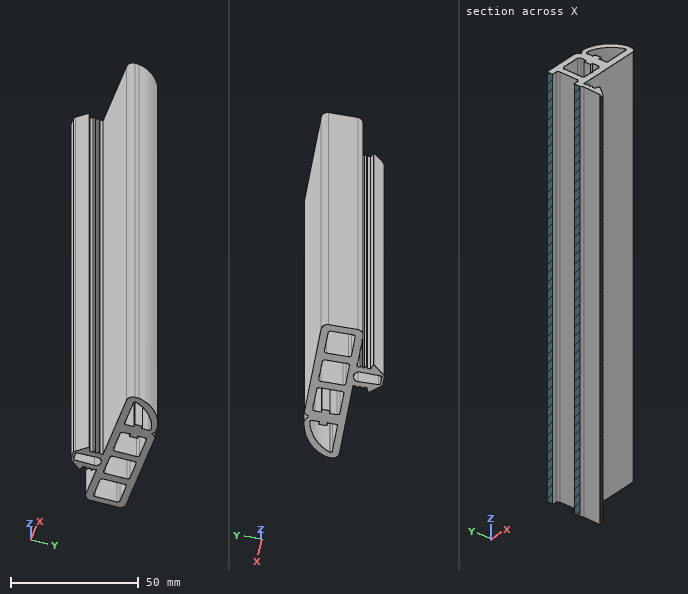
import cadquery as cq

length = 200.0
bar_width = 56.5
bar_height = 16.8
corner_radius = 2.5

floor_thickness = 3.0
cell_height = bar_height - 2 * floor_thickness
cell_spans = [(2.5, 12.2), (15.2, 24.5), (27.5, 37.5)]
cell_radius = 1.0

flat_top_end = 39.0
groove_x = 40.5
groove_depth = 1.8
bulb_start = (42.5, 16.2)
bulb_bulge = (51.5, 12.5)
bulb_end = (bar_width, 4.5)

bulb_cell_left = 41.8
bulb_cell_top_end = 43.5
bulb_cell_right = 54.0
bulb_cell_shoulder = 4.0
bulb_cell_bulge = (50.0, 10.0)
bulb_cell_radius = 0.5

pad_left = 36.5
pad_right = 43.0
pad_bottom = 7.0
pad_top = 10.2

foot_center = 20.0
foot_depth = 11.5
stem_half_width = 4.2
barb_half_width = 6.2
barb_root_y = -5.5
barb_top_y = -6.2
barb_tip_chamfer = 0.5
toe_half_width = 2.5
toe_y = -10.8
sole_half_width = 1.8

ridge_height = 0.8
ridge_half_base = 0.5
ridge_positions = [-1.8, -3.5]

slot_width = 4.2
slot_lower_width = 3.8
slot_top = 0.5
slot_bottom = -10.5
slot_lower_radius = 0.8


def make_bar():
    """Solid bar with rounded corners, the groove and the curved bulb wall."""
    bar = (
        cq.Workplane("XY")
        .moveTo(0, 0)
        .lineTo(bar_width, 0)
        .lineTo(*bulb_end)
        .threePointArc(bulb_bulge, bulb_start)
        .lineTo(groove_x, bar_height - groove_depth)
        .lineTo(flat_top_end, bar_height)
        .lineTo(0, bar_height)
        .close()
        .extrude(length)
    )
    bar = bar.edges("|Z and <X").fillet(corner_radius)
    lower_right = cq.selectors.NearestToPointSelector((bar_width, 0, length / 2))
    return bar.edges(lower_right).fillet(corner_radius)


def make_cell(left, right):
    """Cutter for one rounded rectangular cell."""
    return (
        cq.Workplane("XY")
        .center((left + right) / 2, bar_height / 2)
        .rect(right - left, cell_height)
        .extrude(length)
        .edges("|Z")
        .fillet(cell_radius)
    )


def make_bulb_cell():
    """Cutter for the hollow under the curved wall."""
    return (
        cq.Workplane("XY")
        .moveTo(bulb_cell_left, floor_thickness)
        .lineTo(bulb_cell_right, floor_thickness)
        .lineTo(bulb_cell_right, bulb_cell_shoulder)
        .threePointArc(bulb_cell_bulge, (bulb_cell_top_end, floor_thickness + cell_height))
        .lineTo(bulb_cell_left, floor_thickness + cell_height)
        .close()
        .extrude(length)
        .edges("|Z")
        .fillet(bulb_cell_radius)
    )


def make_pads():
    """Block through the dividing wall that stands proud on both faces."""
    pad_width = pad_right - pad_left
    pad_height = pad_top - pad_bottom
    pads = cq.Workplane("XY").box(pad_width, pad_height, length, centered=False)
    return pads.translate((pad_left, pad_bottom, 0))


def make_foot():
    """Barbed foot with ridged sides, its root sunk into the bar floor."""
    right_side = [(stem_half_width, floor_thickness / 2)]
    for y in ridge_positions:
        right_side += [
            (stem_half_width, y + ridge_half_base),
            (stem_half_width + ridge_height, y),
            (stem_half_width, y - ridge_half_base),
        ]
    right_side += [
        (stem_half_width, barb_root_y),
        (barb_half_width, barb_top_y),
        (barb_half_width - barb_tip_chamfer / 2, barb_top_y - barb_tip_chamfer),
        (toe_half_width, toe_y),
        (sole_half_width, -foot_depth),
    ]
    left_side = [(-x, y) for x, y in reversed(right_side)]
    foot = cq.Workplane("XY").polyline(right_side + left_side).close().extrude(length)
    return foot.translate((foot_center, 0, 0))


def make_slot():
    """Cutter for the hollow of the foot."""
    half_width = slot_width / 2
    lower_half_width = slot_lower_width / 2
    arch_base = slot_top - half_width
    return (
        cq.Workplane("XY")
        .moveTo(-lower_half_width, slot_bottom)
        .lineTo(lower_half_width, slot_bottom)
        .lineTo(half_width, arch_base)
        .threePointArc((0, slot_top), (-half_width, arch_base))
        .close()
        .extrude(length)
        .edges("|Z and <Y")
        .fillet(slot_lower_radius)
        .translate((foot_center, 0, 0))
    )


result = make_bar().union(make_foot())
for left, right in cell_spans:
    result = result.cut(make_cell(left, right))
result = result.cut(make_bulb_cell()).cut(make_slot()).union(make_pads())